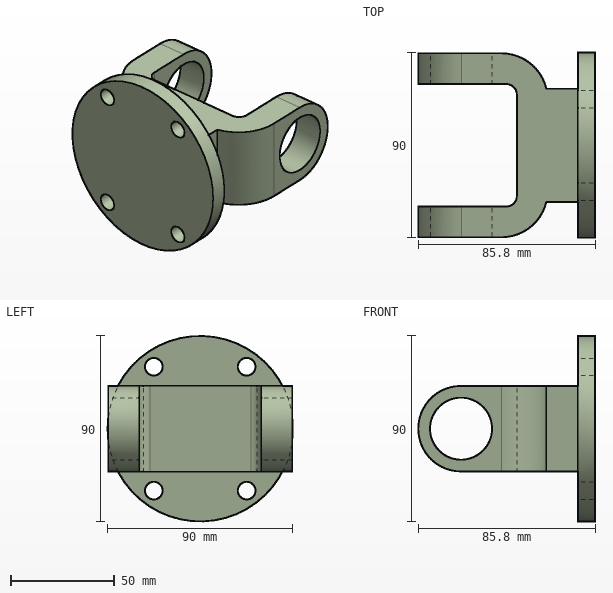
import cadquery as cq

total_length = 85.8
flange_diameter = 90.0
flange_thickness = 8.4
fork_width = 89.3
fork_height = 41.6
arm_thickness = 15.0
fork_gap_depth = 47.8
outer_corner_radius = 22.5
outer_corner_start = 40.3
inner_corner_radius = 5.0
pin_bore_diameter = 30.0
neck_width = 55.0
bolt_hole_diameter = 8.5
bolt_spacing_y = 45.0
bolt_spacing_z = 60.0

tip_radius = fork_height / 2
gap_width = fork_width - 2 * arm_thickness
flange_face_x = total_length - flange_thickness
fork_back_x = outer_corner_start + outer_corner_radius


def block(x_start, x_end, width):
    """Block of fork height between two X positions, centred on Y and Z."""
    length = x_end - x_start
    return cq.Workplane("XY").box(length, width, fork_height).translate((x_start + length / 2, 0, 0))


def make_fork():
    """U-shaped fork with rounded corners, rounded tips and a cross bore."""
    body = block(0, fork_back_x, fork_width).edges("|Z and >X").fillet(outer_corner_radius)
    gap = block(0, fork_gap_depth, gap_width).edges("|Z and >X").fillet(inner_corner_radius)
    side_profile = (
        cq.Workplane("XZ")
        .moveTo(fork_back_x, tip_radius)
        .lineTo(tip_radius, tip_radius)
        .threePointArc((0, 0), (tip_radius, -tip_radius))
        .lineTo(fork_back_x, -tip_radius)
        .close()
        .extrude(fork_width / 2, both=True)
    )
    pin_bore = (
        cq.Workplane("XZ")
        .center(tip_radius, 0)
        .circle(pin_bore_diameter / 2)
        .extrude(fork_width / 2, both=True)
    )
    return body.cut(gap).intersect(side_profile).cut(pin_bore)


def make_flange():
    """Round flange with four through bolt holes."""
    return (
        cq.Workplane("YZ", origin=(flange_face_x, 0, 0))
        .circle(flange_diameter / 2)
        .rect(bolt_spacing_y, bolt_spacing_z, forConstruction=True)
        .vertices()
        .circle(bolt_hole_diameter / 2)
        .extrude(flange_thickness)
    )


neck = block(fork_gap_depth, flange_face_x, neck_width)
result = make_fork().union(neck).union(make_flange())